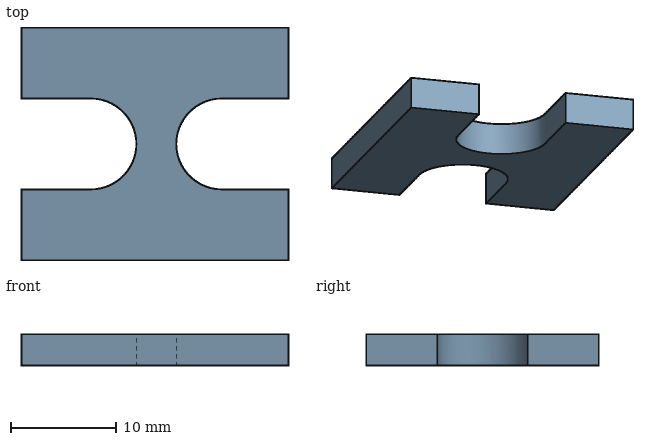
import cadquery as cq

length = 25.4
width = 22.1
thickness = 3.0

slot_width = 8.6
web = 3.8
web_offset = 0.13

slot_radius = slot_width / 2


def slot_cutter(side):
    """Open slot on the +X (side=1) or -X (side=-1) end of the plate."""
    end_x = side * length / 2
    tip_x = web_offset + side * web / 2
    center_x = tip_x + side * slot_radius
    return (
        cq.Workplane("XY")
        .moveTo(end_x, slot_radius)
        .lineTo(center_x, slot_radius)
        .threePointArc((tip_x, 0), (center_x, -slot_radius))
        .lineTo(end_x, -slot_radius)
        .close()
        .extrude(thickness)
    )


result = cq.Workplane("XY").box(length, width, thickness, centered=(True, True, False))
for side in (-1, 1):
    result = result.cut(slot_cutter(side))